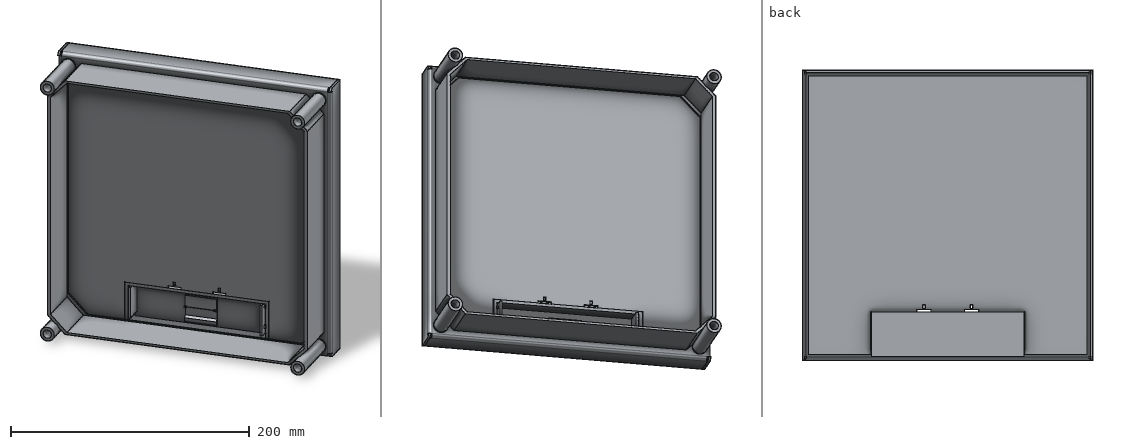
import cadquery as cq
WIDTH = 243.0
TRAY_DEPTH = 22.5
SHEET = 2.0
BEND_RADIUS = 3.2
SEAM_GAP = 0.2

WINDOW = 225.5
WINDOW_CUT = 17.5

RING_GAP = 1.5
RING_WIDTH = 231.3
RING_HEIGHT = 229.5
RING_CUT = 15.8
RING_BORE_CUT = 14.5
RING_LENGTH = 40.8

POST_OFFSET = 111.3
POST_DIAMETER = 12.5
POST_NECK_DIAMETER = 10.7
POST_BORE = 7.3
POST_TIP = 54.5

PANEL_SIZE = 233.3
PANEL_SETBACK = 5.8

POCKET_WIDTH = 127.8
POCKET_CLEARANCE = 0.5
POCKET_TOP = -81.0
POCKET_WALL = 2.7
POCKET_DEPTH = 16.8
POCKET_SILL = -115.5

SLOT_OFFSET = 20.0
SLOT_WIDTH = 11.7
SLOT_HEIGHT = 2.0
SLOT_STEM_WIDTH = 2.0
SLOT_STEM_HEIGHT = 3.0
SLOT_STEM_GAP = 1.0

CRADLE_WIDTH = 119.0
CRADLE_OVERHANG = 3.6
CHEEK_BOTTOM = -111.3
CRADLE_RECESS = 12.5
PIVOT_DIAMETER = 3.5
PIVOT_Z = -105.0
STOP_DIAMETER = 2.5
STOP_Z = -87.0
PIN_SETBACK = 2.5

LATCH_WIDTH = 28.2
LATCH_TOP = -89.7
LATCH_STEP = -100.0
LATCH_LEDGE_TOP = -108.0
LATCH_BOTTOM = -113.5
LATCH_BASE = 1.2
LATCH_RAISED = 2.5
LATCH_LEDGE = 3.2
LEDGE_CHAMFER = 2.0
LEDGE_ROUND = 1.0
EAR_WIDTH = 2.0
EAR_HEIGHT = 1.0
EAR_REACH = 4.4

panel_front = PANEL_SETBACK
half_width = WIDTH / 2
post_axes = [(x, z) for x in (-POST_OFFSET, POST_OFFSET) for z in (-POST_OFFSET, POST_OFFSET)]


def block(x0, x1, y0, y1, z0, z1):
    """Box between two corners."""
    return cq.Workplane("XY").box(x1 - x0, y1 - y0, z1 - z0, centered=False).translate((x0, y0, z0))


def octagon_prism(width, height, cut, y0, y1):
    """Rectangle with cut corners in the XZ plane, extruded from y0 to y1."""
    outline = cq.Workplane("XZ", origin=(0, y0, 0)).rect(width, height).extrude(y0 - y1)
    return outline.edges("|Y").chamfer(cut)


def y_cylinder(diameter, x, z, y0, y1):
    """Cylinder along Y from y0 to y1."""
    return cq.Workplane("XZ", origin=(x, y0, z)).circle(diameter / 2).extrude(y0 - y1)


def x_cylinder(diameter, x0, x1, y, z):
    """Cylinder along X from x0 to x1."""
    return cq.Workplane("YZ", origin=(x0, y, z)).circle(diameter / 2).extrude(x1 - x0)


def bent_sheet(size, depth, front, radius):
    """Square block whose four front edges are rounded."""
    body = block(-size / 2, size / 2, front, depth, -size / 2, size / 2)
    return body.faces("<Y").edges().fillet(radius)


def corner_block(side, end, inset, width, height, depth):
    """Block at a tray corner, from the front back to depth; inset and width run inward from the side."""
    x = side * (half_width - inset - width / 2)
    z = end * (half_width - height / 2)
    return cq.Workplane("XY").box(width, depth, height).translate((x, depth / 2, z))


def make_tray():
    """Sheet tray, open at the back, with a window and relieved front corners."""
    outer = bent_sheet(WIDTH, TRAY_DEPTH, 0, BEND_RADIUS)
    cavity = bent_sheet(WIDTH - 2 * SHEET, TRAY_DEPTH, SHEET, BEND_RADIUS - SHEET)
    tray = outer.cut(cavity)
    tray = tray.cut(octagon_prism(WINDOW, WINDOW, WINDOW_CUT, 0, SHEET))

    flange_profile = block(-half_width, half_width, 0, TRAY_DEPTH, -half_width, half_width)
    flange_profile = flange_profile.faces("<Y").edges("|X").fillet(BEND_RADIUS)
    for side in (-1, 1):
        for end in (-1, 1):
            relief = corner_block(side, end, 0, BEND_RADIUS, BEND_RADIUS, BEND_RADIUS)
            flange_end = corner_block(side, end, 0, SHEET, BEND_RADIUS, BEND_RADIUS)
            slit = corner_block(side, end, SHEET, SEAM_GAP, SHEET, TRAY_DEPTH)
            tray = tray.cut(relief).union(flange_end.intersect(flange_profile)).cut(slit)
    return tray


def make_ring():
    """Octagonal duct just in front of the tray, its cut corners hollowed to clear the posts."""
    back = -RING_GAP
    front = back - RING_LENGTH
    ring = octagon_prism(RING_WIDTH, RING_HEIGHT, RING_CUT, back, front)
    ring = ring.cut(octagon_prism(WINDOW, WINDOW, RING_BORE_CUT, back, front))
    for x, z in post_axes:
        ring = ring.cut(y_cylinder(POST_DIAMETER, x, z, back, front))
    return ring


def make_post(x, z):
    """Hollow post with a short narrower neck resting on the tray."""
    post = y_cylinder(POST_DIAMETER, x, z, -RING_GAP, -POST_TIP)
    post = post.union(y_cylinder(POST_NECK_DIAMETER, x, z, 0, -RING_GAP))
    return post.cut(y_cylinder(POST_BORE, x, z, 0, -POST_TIP))


def make_panel():
    """Flat panel behind the window, with the pocket opening and two pairs of slots above it."""
    back = panel_front + SHEET
    half = PANEL_SIZE / 2
    panel = block(-half, half, panel_front, back, -half, half)
    opening = POCKET_WIDTH / 2 + POCKET_CLEARANCE
    panel = panel.cut(block(-opening, opening, panel_front, back, -half, POCKET_TOP))
    for x in (-SLOT_OFFSET, SLOT_OFFSET):
        bar_top = POCKET_TOP + SLOT_HEIGHT
        bar = block(x - SLOT_WIDTH / 2, x + SLOT_WIDTH / 2, panel_front, back, POCKET_TOP, bar_top)
        stem_foot = bar_top + SLOT_STEM_GAP
        stem = block(x - SLOT_STEM_WIDTH / 2, x + SLOT_STEM_WIDTH / 2, panel_front, back,
                     stem_foot, stem_foot + SLOT_STEM_HEIGHT)
        panel = panel.cut(bar).cut(stem)
    return panel


def make_pocket():
    """Open-fronted box set into the panel opening."""
    half = POCKET_WIDTH / 2
    back = panel_front + POCKET_DEPTH
    outer = block(-half, half, panel_front, back, POCKET_SILL - POCKET_WALL, POCKET_TOP)
    inside = half - POCKET_WALL
    cavity = block(-inside, inside, panel_front, back - POCKET_WALL, POCKET_SILL, POCKET_TOP - POCKET_WALL)
    return outer.cut(cavity)


def make_cradle():
    """Floor plate with two cheeks, each carrying a pivot and a stop pin."""
    half = CRADLE_WIDTH / 2
    top = POCKET_TOP - POCKET_WALL
    floor = panel_front + CRADLE_RECESS
    back = panel_front + POCKET_DEPTH - POCKET_WALL
    front = panel_front - CRADLE_OVERHANG
    cradle = block(-half, half, floor, back, POCKET_SILL, top)
    inside = half - SHEET
    for x0, x1 in ((-half, -inside), (inside, half)):
        cradle = cradle.union(block(x0, x1, front, floor, CHEEK_BOTTOM, top))
    pin_y = panel_front + PIN_SETBACK
    wall = POCKET_WIDTH / 2 - POCKET_WALL
    for x0, x1 in ((-wall, -half), (half, wall)):
        cradle = cradle.union(x_cylinder(PIVOT_DIAMETER, x0, x1, pin_y, PIVOT_Z))
        cradle = cradle.union(x_cylinder(STOP_DIAMETER, x0, x1, pin_y, STOP_Z))
    return cradle


def make_latch():
    """Stepped latch plate on the cradle floor, with two small ears and a bevelled ledge at its foot."""
    half = LATCH_WIDTH / 2
    floor = panel_front + CRADLE_RECESS
    base = block(-half, half, floor - LATCH_BASE, floor, LATCH_BOTTOM, LATCH_TOP)
    raised = block(-half, half, floor - LATCH_RAISED, floor, LATCH_STEP, LATCH_TOP)
    ledge = block(-half, half, floor - LATCH_LEDGE, floor, LATCH_BOTTOM, LATCH_LEDGE_TOP)
    ledge = ledge.edges("|X and <Y and >Z").chamfer(LEDGE_CHAMFER)
    ledge = ledge.edges("|X and <Y and <Z").fillet(LEDGE_ROUND)
    latch = base.union(raised).union(ledge)
    for x0, x1 in ((-half, EAR_WIDTH - half), (half - EAR_WIDTH, half)):
        latch = latch.union(block(x0, x1, floor - EAR_REACH, floor, LATCH_STEP, LATCH_STEP + EAR_HEIGHT))
    return latch


posts = [make_post(x, z) for x, z in post_axes]
bodies = [make_tray(), make_ring(), make_panel(), make_pocket(), make_cradle(), make_latch(), *posts]
result = cq.Compound.makeCompound([body.val() for body in bodies])